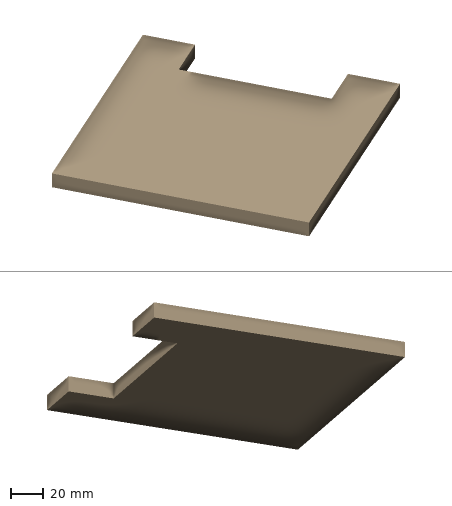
import cadquery as cq

side = 168.0
thickness = 10.0

notch_width = 100.0
notch_depth = 30.0

plate = cq.Workplane("XY").box(side, side, thickness)

notch = (
    cq.Workplane("XY")
    .box(notch_width, notch_depth, thickness)
    .translate((0, (side - notch_depth) / 2, 0))
)

result = plate.cut(notch)